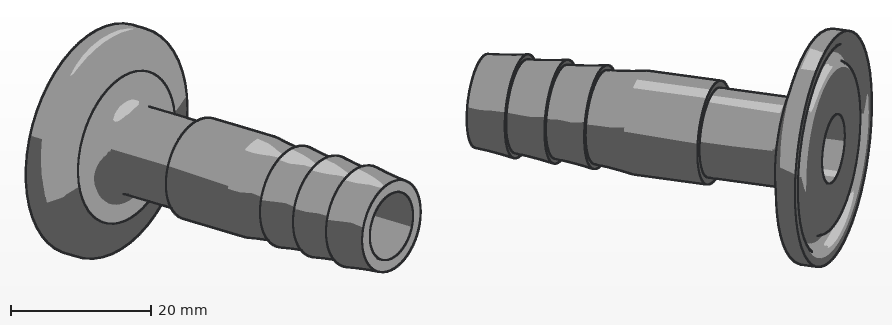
import cadquery as cq
import math

length = 53.0
bore_radius = 10.0 / 2

flange_radius = 34.0 / 2
rim_width = 2.3
rim_round = 0.85
cone_angle = math.radians(20)
cone_inner_radius = 11.25

groove_center_radius = 13.8
groove_half_width = 2.0
groove_lip_round = 0.8
groove_wall_length = 0.3
groove_wall_lean = math.radians(20)

groove_wall_width = groove_wall_length * math.sin(groove_wall_lean)
groove_arc_radius = (groove_half_width - groove_wall_width) / math.cos(groove_wall_lean) - groove_lip_round

neck_radius = 13.0 / 2
neck_fillet = 2.0
neck_end = 17.95
sleeve_radius = 15.0 / 2

barb_count = 4
barb_pitch = 6.0
barb_tip_radius = 6.8
barb_sag = 0.08
barbs_start = length - barb_count * barb_pitch

cone_start_x = rim_width + rim_round * math.cos(cone_angle)
cone_start_radius = flange_radius - rim_round * (1 - math.sin(cone_angle))
flange_back = cone_start_x + (cone_start_radius - cone_inner_radius) * math.tan(cone_angle)


def arc_point(center, radius, angle):
    """Point on a circle, with the angle measured from the +X direction."""
    return (center[0] + radius * math.cos(angle), center[1] + radius * math.sin(angle))


def draw_face_groove(profile):
    """Draw the round-bottomed groove, its leaning walls and its two lips, from the inside outward."""
    wall_depth = groove_wall_length * math.cos(groove_wall_lean)
    round_offset = (groove_arc_radius + groove_lip_round) * math.sin(groove_wall_lean)
    groove_center = (groove_lip_round + wall_depth - round_offset, groove_center_radius)
    inner_lip = (groove_lip_round, groove_center_radius - groove_half_width)
    outer_lip = (groove_lip_round, groove_center_radius + groove_half_width)

    wall_angle = math.pi / 2 - groove_wall_lean
    lip_wall_angle = math.pi - wall_angle
    lip_middle_angle = (math.pi + lip_wall_angle) / 2

    return (
        profile.lineTo(0, inner_lip[1])
        .threePointArc(
            arc_point(inner_lip, groove_lip_round, lip_middle_angle),
            arc_point(inner_lip, groove_lip_round, lip_wall_angle),
        )
        .lineTo(*arc_point(groove_center, groove_arc_radius, -wall_angle))
        .threePointArc(
            arc_point(groove_center, groove_arc_radius, 0),
            arc_point(groove_center, groove_arc_radius, wall_angle),
        )
        .lineTo(*arc_point(outer_lip, groove_lip_round, -lip_wall_angle))
        .threePointArc(
            arc_point(outer_lip, groove_lip_round, -lip_middle_angle),
            (0, outer_lip[1]),
        )
    )


def draw_flange_back(profile):
    """Draw the rim, its round, the cone, the flat back and the neck fillet."""
    round_center = (rim_width, flange_radius - rim_round)
    round_middle_angle = (math.pi / 2 + cone_angle) / 2
    fillet_center = (flange_back + neck_fillet, neck_radius + neck_fillet)
    return (
        profile.lineTo(0, flange_radius)
        .lineTo(rim_width, flange_radius)
        .threePointArc(
            arc_point(round_center, rim_round, round_middle_angle),
            (cone_start_x, cone_start_radius),
        )
        .lineTo(flange_back, cone_inner_radius)
        .lineTo(flange_back, fillet_center[1])
        .threePointArc(
            arc_point(fillet_center, neck_fillet, math.radians(225)),
            (fillet_center[0], neck_radius),
        )
    )


def draw_barbs(profile):
    """Draw the barbs, each a slightly hollow taper toward the hose end."""
    middle_radius = (sleeve_radius + barb_tip_radius) / 2 - barb_sag
    for index in range(barb_count):
        start = barbs_start + index * barb_pitch
        profile = profile.lineTo(start, sleeve_radius).threePointArc(
            (start + barb_pitch / 2, middle_radius),
            (start + barb_pitch, barb_tip_radius),
        )
    return profile


profile = cq.Workplane("XY").moveTo(0, bore_radius)
profile = draw_face_groove(profile)
profile = draw_flange_back(profile)
profile = profile.lineTo(neck_end, neck_radius).lineTo(neck_end, sleeve_radius)
profile = draw_barbs(profile)
profile = profile.lineTo(length, bore_radius).close()

result = profile.revolve(360, (0, 0, 0), (1, 0, 0))